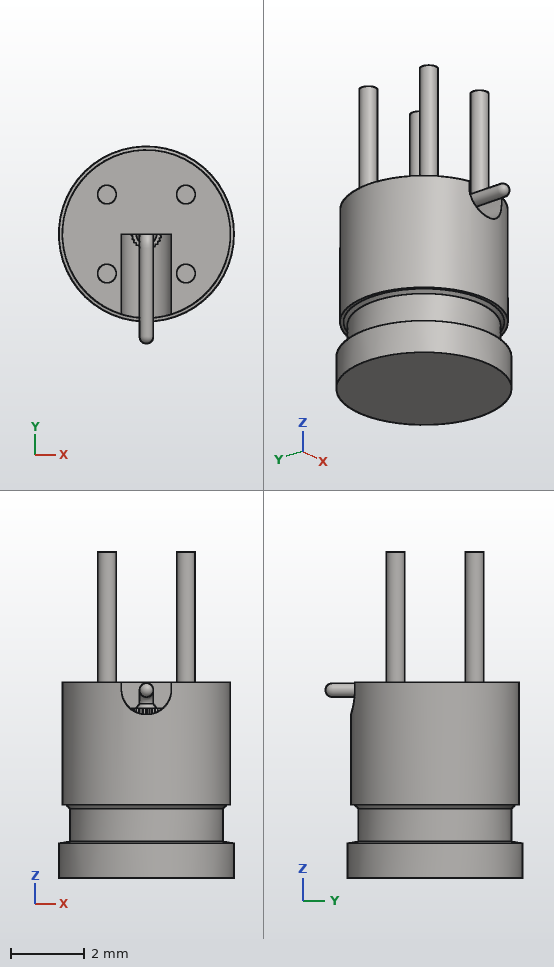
import cadquery as cq
import math

flange_radius = 2.4
neck_radius = 2.1
body_radius = 2.3
flange_edge_height = 0.95
neck_bottom = 1.0
body_bottom = 2.0
underside_chamfer = 0.1
body_top = 5.36

pin_radius = 0.255
pin_offset = 1.08
overall_height = 8.92

slot_radius = 0.685
slot_axis_depth = 0.2

lead_radius = 0.19
lead_axis_depth = 0.22
lead_bend_radius = 0.375
lead_tip_reach = 3.0

seat_teeth = 24
seat_tip_radius = 0.415
seat_root_radius = 0.375
first_tooth_angle = math.radians(3.75)
root_embedment = 0.2
seat_depth = 0.715
collar_radius = 0.28

slot_axis_z = body_top - slot_axis_depth
root_z = slot_axis_z - slot_radius - root_embedment
lead_axis_z = body_top - lead_axis_depth
lead_bend_bottom = lead_axis_z - lead_bend_radius
seat_top = body_top - seat_depth
collar_height = lead_bend_bottom - seat_top


def make_header():
    """Flange, neck and body revolved as one profile with sloped shoulders."""
    profile = (
        cq.Workplane("XZ")
        .lineTo(flange_radius, 0)
        .lineTo(flange_radius, flange_edge_height)
        .lineTo(neck_radius, neck_bottom)
        .lineTo(neck_radius, body_bottom - underside_chamfer)
        .lineTo(neck_radius + underside_chamfer, body_bottom)
        .lineTo(body_radius, body_bottom)
        .lineTo(body_radius, body_top)
        .lineTo(0, body_top)
        .close()
    )
    return profile.revolve(360, (0, 0, 0), (0, 1, 0))


def make_slot():
    """Cutter with straight upper sides and a half-round floor."""
    return (
        cq.Workplane("XZ")
        .moveTo(-slot_radius, body_top)
        .lineTo(-slot_radius, slot_axis_z)
        .threePointArc((0, slot_axis_z - slot_radius), (slot_radius, slot_axis_z))
        .lineTo(slot_radius, body_top)
        .close()
        .extrude(flange_radius)
    )


def make_pins():
    """Four equal pins on a square pattern."""
    pitch = 2 * pin_offset
    return (
        cq.Workplane("XY", origin=(0, 0, body_top))
        .rarray(pitch, pitch, 2, 2)
        .circle(pin_radius)
        .extrude(overall_height - body_top)
    )


def make_seat():
    """Serrated seat standing in the slot floor around the lead, with a conical collar."""
    half_tooth = math.pi / seat_teeth
    outline = []
    for step in range(2 * seat_teeth):
        radius = seat_tip_radius if step % 2 == 0 else seat_root_radius
        angle = first_tooth_angle + step * half_tooth
        outline.append((radius * math.cos(angle), radius * math.sin(angle)))
    seat_height = seat_top - root_z
    base = cq.Workplane("XY", origin=(0, 0, root_z))
    seat = base.polyline(outline).close().extrude(seat_height)
    collar_base = cq.Vector(0, 0, seat_top)
    collar = cq.Solid.makeCone(collar_radius, lead_radius, collar_height, collar_base)
    return seat.union(cq.Workplane(collar))


def make_lead():
    """Round wire swept up, around the bend and out, ending in a ball tip."""
    tip_centre_y = -(lead_tip_reach - lead_radius)
    bend_middle = lead_bend_radius * (1 - math.cos(math.pi / 4))
    path = (
        cq.Workplane("YZ")
        .moveTo(0, root_z)
        .lineTo(0, lead_bend_bottom)
        .threePointArc((-bend_middle, lead_axis_z - bend_middle), (-lead_bend_radius, lead_axis_z))
        .lineTo(tip_centre_y, lead_axis_z)
    )
    wire = cq.Workplane("XY", origin=(0, 0, root_z)).circle(lead_radius).sweep(path)
    tip = cq.Workplane("XY", origin=(0, tip_centre_y, lead_axis_z)).sphere(lead_radius)
    return wire.union(tip)


result = make_header().cut(make_slot()).union(make_pins()).union(make_seat()).union(make_lead())